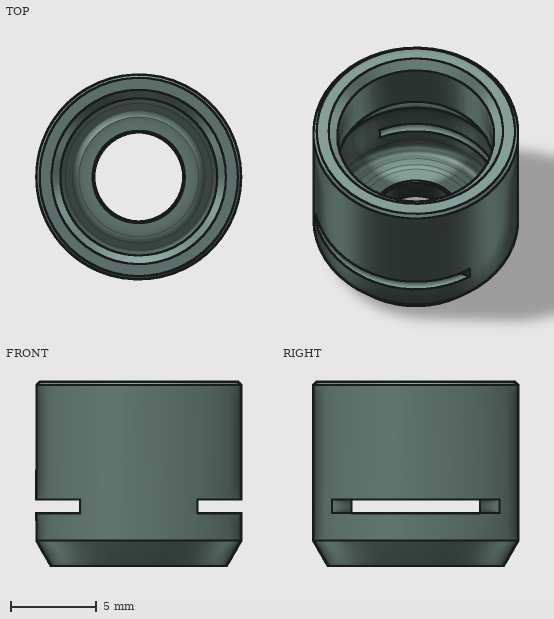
import cadquery as cq
import math

outer_diameter = 12.0
height = 10.8
outer_radius = outer_diameter / 2
rim_chamfer = 0.2

nose_height = 1.5
nose_half_angle = 30.0
nose_radius = outer_radius - nose_height * math.tan(math.radians(nose_half_angle))

bore_radius = 9.19 / 2
chamber_radius = 10.2 / 2
chamber_top = 5.6
cone_half_angle = 20.0
cone_height = (chamber_radius - bore_radius) / math.tan(math.radians(cone_half_angle))
bore_bottom = chamber_top + cone_height

lead_in_radius = chamber_radius
lead_in_depth = lead_in_radius - bore_radius

floor_height = 1.4
floor_fillet = 0.8

ring_top_radius = 3.5
ring_height = 0.1
ring_flank_angle = 15.0
ring_base_radius = ring_top_radius + ring_height / math.tan(math.radians(ring_flank_angle))
ring_top = floor_height + ring_height

hole_radius = 5.2 / 2
hole_chamfer = 0.1

slot_bottom = 3.1
slot_height = 0.8
slot_flat_offset = 3.45


def make_sleeve():
    """Revolve the half section around the Z axis."""
    fillet_center_r = chamber_radius - floor_fillet
    fillet_center_z = floor_height + floor_fillet
    fillet_mid_offset = floor_fillet * math.sqrt(0.5)
    section = (
        cq.Workplane("XZ")
        .moveTo(hole_radius, 0)
        .lineTo(nose_radius, 0)
        .lineTo(outer_radius, nose_height)
        .lineTo(outer_radius, height - rim_chamfer)
        .lineTo(outer_radius - rim_chamfer, height)
        .lineTo(lead_in_radius, height)
        .lineTo(bore_radius, height - lead_in_depth)
        .lineTo(bore_radius, bore_bottom)
        .lineTo(chamber_radius, chamber_top)
        .lineTo(chamber_radius, fillet_center_z)
        .threePointArc(
            (fillet_center_r + fillet_mid_offset, fillet_center_z - fillet_mid_offset),
            (fillet_center_r, floor_height),
        )
        .lineTo(ring_base_radius, floor_height)
        .lineTo(ring_top_radius, ring_top)
        .lineTo(hole_radius + hole_chamfer, ring_top)
        .lineTo(hole_radius, ring_top - hole_chamfer)
        .close()
    )
    return section.revolve(360, (0, 0, 0), (0, 1, 0))


def make_slot(side):
    """Block that opens the wall beyond the flat on the -X (-1) or +X (+1) side."""
    block_depth = outer_radius
    return (
        cq.Workplane("XY")
        .box(block_depth, outer_diameter, slot_height, centered=(True, True, False))
        .translate((side * (slot_flat_offset + block_depth / 2), 0, slot_bottom))
    )


result = make_sleeve()
for side in (-1, 1):
    result = result.cut(make_slot(side))